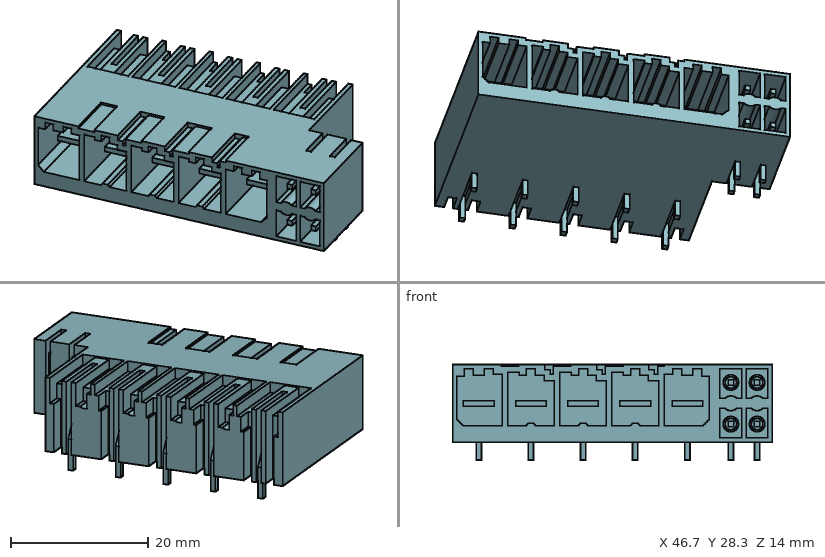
import cadquery as cq
import math

LENGTH = 46.7
DEPTH = 28.3
HEIGHT = 11.4
POWER_LENGTH = 38.05
SIGNAL_DEPTH = 13.3
TAIL_LENGTH = 2.6
TAIL_SIZE = 0.8
HALF_TAIL = TAIL_SIZE / 2

POWER_COUNT = 5
POWER_PITCH = 7.6
FIRST_POWER_X = 3.85
POWER_X = [FIRST_POWER_X + i * POWER_PITCH for i in range(POWER_COUNT)]

POCKET_DEPTH = 13.05
POCKET_HALF_WIDTH = 3.4
POCKET_FLOOR_Z = 2.45
POCKET_ROOF_Z = 9.75
END_POCKET_OUTER = 3.2
END_POCKET_CHAMFER = 0.95
END_OUTER_ROOF_Z = 9.6
END_INNER_ROOF_Z = 9.9
LEFT_ROOF_Z = 10.23
LEFT_ROOF_EDGE = 1.75
RIGHT_ROOF_Z = 8.95
RIGHT_ROOF_EDGE = 1.9
NOTCH_WIDTH = 1.3
NOTCH_TOP_Z = 10.75
END_NOTCH_OFFSET = 1.45
FLOOR_RIB_BASE = 1.4
FLOOR_RIB_TOP = 0.85
FLOOR_RIB_HEIGHT = 0.35

CODING_LENGTH = 7.85
CODING_LEFT = 2.0
CODING_GROOVE_LEFT = 2.8
CODING_GROOVE_RIGHT = 3.25
CODING_RIGHT = 5.85
LAST_CODING_RIGHT = 4.2
CODING_SHALLOW = 0.35
CODING_MIDDLE = 0.8
CODING_DEEP = 1.45

REAR_FRONT_Y = 16.6
REAR_FLOOR_Z = 9.75
REAR_FLOOR_END_Y = 25.75
REAR_HALF_WIDTH = 3.5
REAR_OUTER = 3.1
REAR_RIB_HALF_WIDTH = 1.1
REAR_RIB_Z = 11.2
REAR_STRIP_EDGE = 2.85
WINDOW_EDGE = 2.45
LEDGE_Z = 7.45
FILLET_RADIUS = 1.2
FILLET_WIDTH = 0.65

POWER_SLOT_Y = 19.15
POWER_TAIL_DEPTH = 0.95
BLADE_Z = HEIGHT / 2
BLADE_WIDTH = 4.5
BLADE_TIP_Y = 4.65
BLADE_END_Y = 14.95
BEAM_STEP_Y = 21.6
BEAM_STEP = 0.4
BEVEL_START_Y = 25.45
BEVEL_DROP = 3.5
POWER_REAR_Y = 27.7

SIGNAL_X = [40.6, 44.45]
SIGNAL_ROW_OFFSET = 3.05
SIGNAL_POCKET_HALF_WIDTH = 1.6
SIGNAL_POCKET_NEAR = 0.7
SIGNAL_POCKET_FAR = 5.05
SIGNAL_POCKET_DEPTH = 6.55
RIDGE_HALF_WIDTH = 0.9
RIDGE_HEIGHT = 0.37
BOSS_BASE_RADIUS = 1.1
BOSS_TOP_RADIUS = 0.85
BOSS_HEIGHT = 0.25
SIGNAL_SLOT_Y = 7.7
SIGNAL_TIP_Y = 1.2
UPPER_TAIL_REAR_Y = 12.25
LOWER_TAIL_REAR_Y = SIGNAL_SLOT_Y + TAIL_SIZE


def box(x0, x1, y0, y1, z0, z1):
    """Block between the given limits."""
    return cq.Workplane("XY").box(x1 - x0, y1 - y0, z1 - z0, centered=False).translate((x0, y0, z0))


def extrude_back(outline, depth):
    """Extrude a closed XZ outline from the mating face toward +Y."""
    return cq.Workplane("XZ").polyline(outline).close().extrude(-depth)


def centred_box(x, half_width, y0, y1, z0, z1):
    """Block centred on x along X."""
    return box(x - half_width, x + half_width, y0, y1, z0, z1)



def end_pocket(x, outward):
    """Pocket at an end position; outward is -1 when the outer wall is on the left, +1 on the right."""
    outer = x + outward * END_POCKET_OUTER
    inner = x - outward * POCKET_HALF_WIDTH
    outer_notch = x + outward * END_NOTCH_OFFSET
    inner_notch = x - outward * END_NOTCH_OFFSET
    step = outward * NOTCH_WIDTH / 2
    outline = [
        (inner, POCKET_FLOOR_Z),
        (outer - outward * END_POCKET_CHAMFER, POCKET_FLOOR_Z),
        (outer, POCKET_FLOOR_Z + END_POCKET_CHAMFER),
        (outer, END_OUTER_ROOF_Z),
        (outer_notch + step, END_OUTER_ROOF_Z),
        (outer_notch + step, NOTCH_TOP_Z),
        (outer_notch - step, NOTCH_TOP_Z),
        (outer_notch - step, POCKET_ROOF_Z),
        (inner_notch + step, POCKET_ROOF_Z),
        (inner_notch + step, NOTCH_TOP_Z),
        (inner_notch - step, NOTCH_TOP_Z),
        (inner_notch - step, END_INNER_ROOF_Z),
        (inner, END_INNER_ROOF_Z),
    ]
    return extrude_back(outline, POCKET_DEPTH)


def middle_pocket(x):
    """Pocket with a stepped roof, one roof notch and a rib on its floor."""
    left = x - POCKET_HALF_WIDTH
    right = x + POCKET_HALF_WIDTH
    rib_z = POCKET_FLOOR_Z + FLOOR_RIB_HEIGHT
    outline = [
        (left, POCKET_FLOOR_Z),
        (x - FLOOR_RIB_BASE / 2, POCKET_FLOOR_Z),
        (x - FLOOR_RIB_TOP / 2, rib_z),
        (x + FLOOR_RIB_TOP / 2, rib_z),
        (x + FLOOR_RIB_BASE / 2, POCKET_FLOOR_Z),
        (right, POCKET_FLOOR_Z),
        (right, RIGHT_ROOF_Z),
        (x + RIGHT_ROOF_EDGE, RIGHT_ROOF_Z),
        (x + RIGHT_ROOF_EDGE, POCKET_ROOF_Z),
        (x + NOTCH_WIDTH / 2, POCKET_ROOF_Z),
        (x + NOTCH_WIDTH / 2, NOTCH_TOP_Z),
        (x - NOTCH_WIDTH / 2, NOTCH_TOP_Z),
        (x - NOTCH_WIDTH / 2, POCKET_ROOF_Z),
        (x - LEFT_ROOF_EDGE, POCKET_ROOF_Z),
        (x - LEFT_ROOF_EDGE, LEFT_ROOF_Z),
        (left, LEFT_ROOF_Z),
    ]
    return extrude_back(outline, POCKET_DEPTH)


def coding_slot(x, right, with_groove):
    """Shallow slot in the top face, with a stepped groove on its left when asked for."""
    shallow_z = HEIGHT - CODING_SHALLOW
    slot = box(x + CODING_GROOVE_RIGHT, x + right, 0, CODING_LENGTH, shallow_z, HEIGHT)
    if with_groove:
        middle_z = HEIGHT - CODING_MIDDLE
        deep_z = HEIGHT - CODING_DEEP
        slot = slot.union(box(x + CODING_LEFT, x + CODING_GROOVE_LEFT, 0, CODING_LENGTH, middle_z, HEIGHT))
        slot = slot.union(
            box(x + CODING_GROOVE_LEFT, x + CODING_GROOVE_RIGHT, 0, CODING_LENGTH, deep_z, HEIGHT)
        )
    return slot


def rear_cutter(x, offset_a, offset_b, front_y, bottom_z):
    """Cutter between two offsets from x, open to the rear face and the top face."""
    low, high = sorted((x + offset_a, x + offset_b))
    return box(low, high, front_y, DEPTH, bottom_z, HEIGHT)


def open_rear_half(x, outward, wall, ledge_edge):
    """Half compartment with an opening through the full height next to the centre rib.

    Outward is -1 for the left half, +1 for the right half. The floor runs out to the wall, and
    at the rear it drops to a ledge between the opening and the ledge edge.
    """
    rib_offset = outward * REAR_RIB_HALF_WIDTH
    window_offset = outward * WINDOW_EDGE
    floor = rear_cutter(x, rib_offset, outward * wall, REAR_FRONT_Y, REAR_FLOOR_Z)
    ledge = rear_cutter(x, window_offset, outward * ledge_edge, REAR_FLOOR_END_Y, LEDGE_Z)
    opening = rear_cutter(x, rib_offset, window_offset, REAR_FLOOR_END_Y, 0)
    return floor.union(ledge).union(opening)


def end_rear_half(x, outward):
    """Outer half of an end compartment: the ledge reaches the wall."""
    return open_rear_half(x, outward, REAR_OUTER, REAR_OUTER)


def right_rear_half(x):
    """Right half next to a divider: a strip of the floor reaches the rear face."""
    return open_rear_half(x, 1, REAR_HALF_WIDTH, REAR_STRIP_EDGE)


def left_rear_half(x):
    """Left half of a compartment next to a divider: its ledge rises in a concave fillet to a shelf."""
    floor = rear_cutter(x, -REAR_RIB_HALF_WIDTH, -REAR_HALF_WIDTH, REAR_FRONT_Y, REAR_FLOOR_Z)
    fillet_x = x - WINDOW_EDGE
    fillet_rise = FILLET_RADIUS - math.sqrt(FILLET_RADIUS**2 - FILLET_WIDTH**2)
    shelf_z = LEDGE_Z + fillet_rise
    recess = (
        cq.Workplane("XZ", origin=(0, REAR_FLOOR_END_Y, 0))
        .moveTo(x - REAR_STRIP_EDGE, LEDGE_Z)
        .lineTo(fillet_x, LEDGE_Z)
        .radiusArc((fillet_x + FILLET_WIDTH, shelf_z), -FILLET_RADIUS)
        .lineTo(x - REAR_RIB_HALF_WIDTH, shelf_z)
        .lineTo(x - REAR_RIB_HALF_WIDTH, HEIGHT)
        .lineTo(x - REAR_STRIP_EDGE, HEIGHT)
        .close()
        .extrude(REAR_FLOOR_END_Y - DEPTH)
    )
    return floor.union(recess)


def rear_compartment(index):
    """All that is removed behind one power position, except the contact's own space."""
    x = POWER_X[index]
    left = end_rear_half(x, -1) if index == 0 else left_rear_half(x)
    right = end_rear_half(x, 1) if index == POWER_COUNT - 1 else right_rear_half(x)
    rib_top = rear_cutter(x, -REAR_RIB_HALF_WIDTH, REAR_RIB_HALF_WIDTH, REAR_FRONT_Y, REAR_RIB_Z)
    return left.union(right).union(rib_top)


def signal_pocket(x, side):
    """Pocket above (+1) or below (-1) mid-height, with a rounded ridge and a boss around the pin."""
    mid_z = HEIGHT / 2
    near_z = mid_z + side * SIGNAL_POCKET_NEAR
    far_z = mid_z + side * SIGNAL_POCKET_FAR
    left = x - SIGNAL_POCKET_HALF_WIDTH
    right = x + SIGNAL_POCKET_HALF_WIDTH
    pocket = (
        cq.Workplane("XZ")
        .moveTo(left, near_z)
        .lineTo(x - RIDGE_HALF_WIDTH, near_z)
        .threePointArc((x, near_z + side * RIDGE_HEIGHT), (x + RIDGE_HALF_WIDTH, near_z))
        .lineTo(right, near_z)
        .lineTo(right, far_z)
        .lineTo(left, far_z)
        .close()
        .extrude(-SIGNAL_POCKET_DEPTH)
    )
    boss = cq.Workplane(
        cq.Solid.makeCone(
            BOSS_BASE_RADIUS,
            BOSS_TOP_RADIUS,
            BOSS_HEIGHT,
            pnt=cq.Vector(x, SIGNAL_POCKET_DEPTH, mid_z + side * SIGNAL_ROW_OFFSET),
            dir=cq.Vector(0, -1, 0),
        )
    )
    return pocket.cut(boss)



def power_contact(x):
    """Flat blade, then a narrow stepped beam that carries two solder tails."""
    top_z = BLADE_Z + HALF_TAIL
    bottom_z = BLADE_Z - HALF_TAIL
    step_z = top_z - BEAM_STEP
    bevel_z = step_z - BEVEL_DROP
    blade = centred_box(x, BLADE_WIDTH / 2, BLADE_TIP_Y, BLADE_END_Y, bottom_z, top_z)
    tail_z = -TAIL_LENGTH
    beam_bottom_z = bevel_z - TAIL_SIZE
    front_tail_rear_y = POWER_SLOT_Y + POWER_TAIL_DEPTH
    rear_tail_front_y = POWER_REAR_Y - POWER_TAIL_DEPTH
    outline = [
        (BLADE_END_Y, top_z),
        (BEAM_STEP_Y, top_z),
        (BEAM_STEP_Y, step_z),
        (BEVEL_START_Y, step_z),
        (POWER_REAR_Y, bevel_z),
        (POWER_REAR_Y, tail_z),
        (rear_tail_front_y, tail_z),
        (rear_tail_front_y, beam_bottom_z),
        (front_tail_rear_y, beam_bottom_z),
        (front_tail_rear_y, tail_z),
        (POWER_SLOT_Y, tail_z),
        (POWER_SLOT_Y, bottom_z),
        (BLADE_END_Y, bottom_z),
    ]
    beam = cq.Workplane("YZ", origin=(x - HALF_TAIL, 0, 0)).polyline(outline).close().extrude(TAIL_SIZE)
    return blade.union(beam)


def signal_contact(x, side):
    """Square pin bent down into one solder tail; the upper row has its tail farther back."""
    z = HEIGHT / 2 + side * SIGNAL_ROW_OFFSET
    rear_y = UPPER_TAIL_REAR_Y if side > 0 else LOWER_TAIL_REAR_Y
    pin = centred_box(x, HALF_TAIL, SIGNAL_TIP_Y, rear_y, z - HALF_TAIL, z + HALF_TAIL)
    tail = centred_box(x, HALF_TAIL, rear_y - TAIL_SIZE, rear_y, -TAIL_LENGTH, z + HALF_TAIL)
    return pin.union(tail)


def make_housing(contacts):
    """Housing with its pockets, slots, compartments and contact holes."""
    body = box(0, POWER_LENGTH, 0, DEPTH, 0, HEIGHT)
    body = body.union(box(POWER_LENGTH, LENGTH, 0, SIGNAL_DEPTH, 0, HEIGHT))
    last = POWER_COUNT - 1

    body = body.cut(end_pocket(POWER_X[0], -1))
    body = body.cut(end_pocket(POWER_X[last], 1))
    for x in POWER_X[1:last]:
        body = body.cut(middle_pocket(x))

    for index, x in enumerate(POWER_X[:last]):
        right = LAST_CODING_RIGHT if index == last - 1 else CODING_RIGHT
        body = body.cut(coding_slot(x, right, with_groove=index > 0))

    for index, x in enumerate(POWER_X):
        body = body.cut(rear_compartment(index))
        body = body.cut(centred_box(x, HALF_TAIL, POWER_SLOT_Y, DEPTH, 0, HEIGHT))

    for x in SIGNAL_X:
        for side in (1, -1):
            body = body.cut(signal_pocket(x, side))
        body = body.cut(centred_box(x, HALF_TAIL, SIGNAL_SLOT_Y, SIGNAL_DEPTH, 0, HEIGHT))

    for contact in contacts:
        body = body.cut(contact)
    return body



power_contacts = [power_contact(x) for x in POWER_X]
signal_contacts = [signal_contact(x, side) for x in SIGNAL_X for side in (1, -1)]
housing = make_housing(power_contacts + signal_contacts)

result = cq.Compound.makeCompound(
    [housing.val()]
    + [contact.val() for contact in power_contacts]
    + [contact.val() for contact in signal_contacts]
)